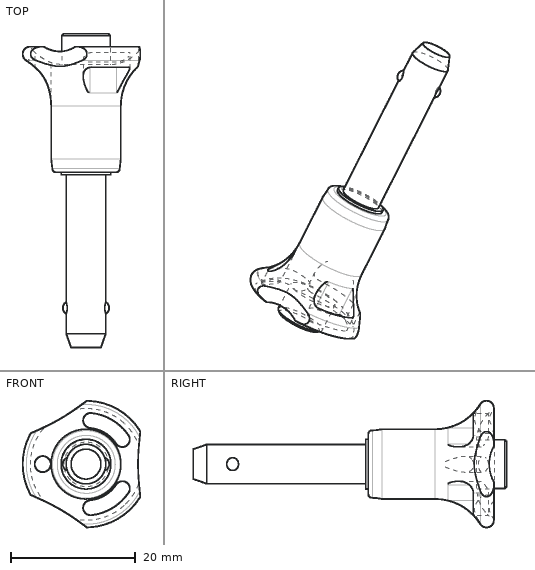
import cadquery as cq
import math


shank_radius = 3.175
shank_length = 27.65
tip_radius = 2.4
tip_length = 2.2

ball_radius = 1.08
ball_reach = 3.73
ball_from_tip = 6.35

collar_radius = 4.0
collar_length = 0.43
barrel_radius = 5.6
barrel_taper_start = 2.58
barrel_taper_end = 1.06
barrel_taper_radius = 5.42
nose_radius = 4.65
nose_bulge_radius = 5.23
nose_bulge_y = 0.58

flare_start = 11.1
rim_radius = 10.16
rim_round = 1.2
rim_top = 20.56

dish_bend_radius = 8.36
dish_bend_y = 19.8
dish_floor_y = 17.7

button_radius = 3.92
button_top = 22.64
button_chamfer = 0.35

hole_offset = 6.93
hole_radius = 1.27
slot_pitch_radius = 7.03
slot_end_radius = 1.18
slot_middle_angle = 59
slot_half_angle = 25
scallop_count = 3
scallop_radius = 38.0
scallop_bottom = 8.36

rim_center_radius = rim_radius - rim_round
rim_center_y = rim_top - rim_round
flare_run = rim_center_y - flare_start
flare_rise = rim_center_radius - barrel_radius
flare_radius = (flare_run**2 + flare_rise**2 - rim_round**2) / (2 * (flare_rise + rim_round))
flare_center_radius = barrel_radius + flare_radius

cut_length = button_top - flare_start


def flare_point(angle):
    """Point (radius, y) on the flare arc; the angle in radians starts from the barrel."""
    return (
        flare_center_radius - flare_radius * math.cos(angle),
        flare_start + flare_radius * math.sin(angle),
    )


def rim_point(angle):
    """Point (radius, y) on the round of the rim; the angle in radians starts from its outermost point."""
    return (
        rim_center_radius + rim_round * math.cos(angle),
        rim_center_y + rim_round * math.sin(angle),
    )


def revolve_about_pin(profile):
    return profile.close().revolve(360, (0, 0, 0), (0, 1, 0))


def polar(radius, angle):
    """Point in the cross-section of the pin, as (x, z), with the angle in degrees from +X."""
    return (radius * math.cos(math.radians(angle)), radius * math.sin(math.radians(angle)))


def across_pin(y):
    """Workplane across the pin at y, facing +Y, with local x = X and local y = -Z."""
    return cq.Workplane(cq.Plane(origin=(0, y, 0), xDir=(1, 0, 0), normal=(0, 1, 0)))


def make_shank():
    overlap = collar_length
    return revolve_about_pin(
        cq.Workplane("XY")
        .moveTo(0, -shank_length)
        .lineTo(tip_radius, -shank_length)
        .lineTo(shank_radius, tip_length - shank_length)
        .lineTo(shank_radius, overlap)
        .lineTo(0, overlap)
    )


def make_balls():
    offset = ball_reach - ball_radius
    y = ball_from_tip - shank_length
    return cq.Workplane("XY").pushPoints([(-offset, y), (offset, y)]).sphere(ball_radius)


def make_handle():
    tangent_angle = math.atan2(flare_run, flare_center_radius - rim_center_radius)
    return revolve_about_pin(
        cq.Workplane("XY")
        .lineTo(collar_radius, 0)
        .lineTo(collar_radius, collar_length)
        .lineTo(nose_radius, collar_length)
        .threePointArc(
            (nose_bulge_radius, nose_bulge_y),
            (barrel_taper_radius, barrel_taper_end),
        )
        .lineTo(barrel_radius, barrel_taper_start)
        .lineTo(barrel_radius, flare_start)
        .threePointArc(
            flare_point(tangent_angle / 2),
            flare_point(tangent_angle),
        )
        .threePointArc(rim_point(-tangent_angle / 2), rim_point(0))
        .threePointArc(rim_point(math.pi / 4), rim_point(math.pi / 2))
        .threePointArc((dish_bend_radius, dish_bend_y), (button_radius, dish_floor_y))
        .lineTo(0, dish_floor_y)
    )


def make_scallop(angle):
    x, z = polar(scallop_bottom + scallop_radius, angle)
    return across_pin(flare_start).center(x, -z).circle(scallop_radius).extrude(cut_length)


def make_lanyard_hole():
    return across_pin(flare_start).center(-hole_offset, 0).circle(hole_radius).extrude(cut_length)


def make_slot(middle_angle):
    inner = slot_pitch_radius - slot_end_radius
    outer = slot_pitch_radius + slot_end_radius
    first = middle_angle - slot_half_angle
    last = middle_angle + slot_half_angle
    cap_turn = math.degrees(slot_end_radius / slot_pitch_radius)

    def point(radius, angle):
        x, z = polar(radius, angle)
        return (x, -z)

    return (
        across_pin(flare_start)
        .moveTo(*point(inner, first))
        .threePointArc(point(inner, middle_angle), point(inner, last))
        .threePointArc(point(slot_pitch_radius, last + cap_turn), point(outer, last))
        .threePointArc(point(outer, middle_angle), point(outer, first))
        .threePointArc(point(slot_pitch_radius, first - cap_turn), point(inner, first))
        .close()
        .extrude(cut_length)
    )


def make_button():
    button = across_pin(flare_start).circle(button_radius).extrude(button_top - flare_start)
    return button.faces(">Y").chamfer(button_chamfer)


handle = make_handle()
for scallop in range(scallop_count):
    handle = handle.cut(make_scallop(scallop * 360 / scallop_count))
for slot_angle in (slot_middle_angle, -slot_middle_angle):
    handle = handle.cut(make_slot(slot_angle))
handle = handle.cut(make_lanyard_hole())

result = handle.union(make_button()).union(make_shank()).union(make_balls())